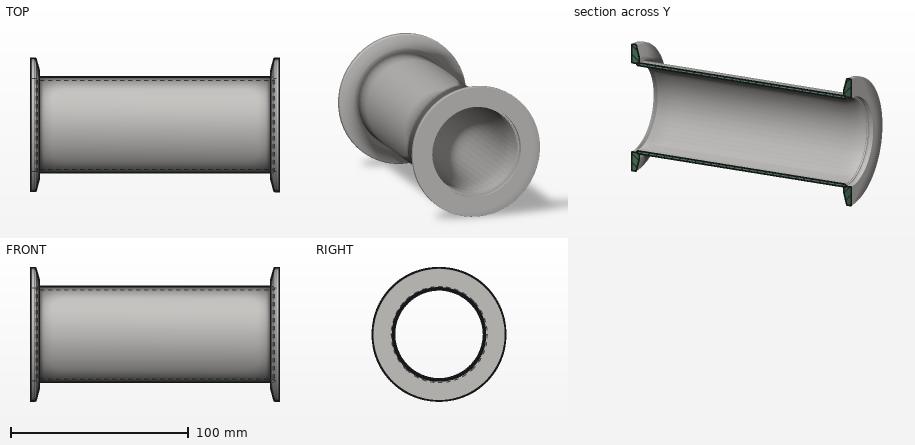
import cadquery as cq
import math

length = 140.0
flange_radius = 37.5
tube_outer_radius = 27.0
tube_inner_radius = 25.0

flange_thickness = 5.0
recess_radius = 26.2
recess_depth = 3.0
flange_bore_radius = 25.5
rim_width = 3.0
face_edge_radius = 0.3
back_edge_radius = 1.0
taper_angle = 15.0
socket_depth = 1.4

tube_length = length - 2 * (flange_thickness - socket_depth)


def make_flange():
    """Flange with its sealing face at X = 0 and its tapered back toward +X."""
    taper_drop = (flange_thickness - rim_width) / math.tan(math.radians(taper_angle))
    shoulder_radius = flange_radius - taper_drop
    body = (
        cq.Workplane("XY")
        .moveTo(0, flange_bore_radius)
        .lineTo(0, flange_radius)
        .lineTo(rim_width, flange_radius)
        .lineTo(flange_thickness, shoulder_radius)
        .lineTo(flange_thickness, flange_bore_radius)
        .close()
        .revolve(360, (0, 0, 0), (1, 0, 0))
    )
    largest_circle = cq.selectors.RadiusNthSelector(-1)
    face_edge = body.edges(largest_circle).edges("<X")
    body = cq.Workplane(body.val().fillet(face_edge_radius, face_edge.vals()))
    back_edge = body.edges(largest_circle).edges(">X")
    body = cq.Workplane(body.val().fillet(back_edge_radius, back_edge.vals()))

    recess = cq.Workplane("YZ").circle(recess_radius).extrude(recess_depth)
    socket = (
        cq.Workplane("YZ", origin=(flange_thickness - socket_depth, 0, 0))
        .circle(tube_outer_radius)
        .extrude(socket_depth)
    )
    return body.cut(recess).cut(socket)


def make_tube():
    """Plain tube seated in the sockets at the backs of the two flanges."""
    return (
        cq.Workplane("YZ", origin=(-tube_length / 2, 0, 0))
        .circle(tube_outer_radius)
        .circle(tube_inner_radius)
        .extrude(tube_length)
    )


tube = make_tube()

flanges = []
for turn in (0, 180):
    flange = make_flange().translate((-length / 2, 0, 0))
    flanges.append(flange.rotate((0, 0, 0), (0, 0, 1), turn))

result = cq.Compound.makeCompound([tube.val(), *[flange.val() for flange in flanges]])